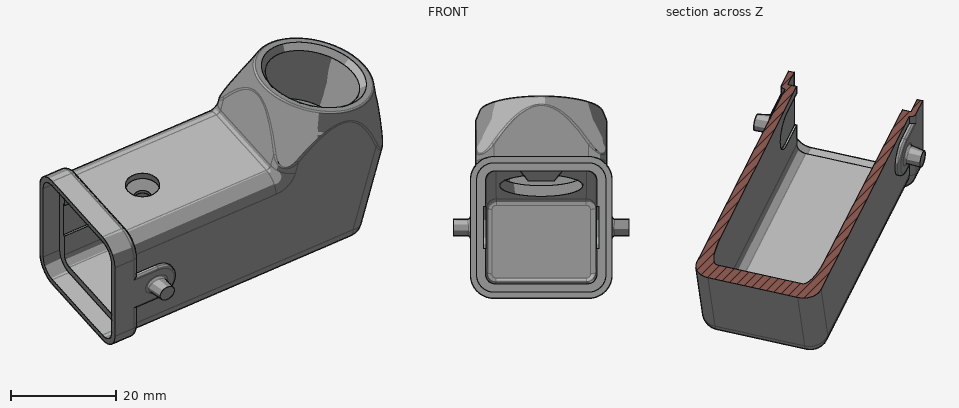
import cadquery as cq
import math


body_width = 25.0
body_half = body_width / 2
body_corner_radius = 3.5
inner_bend_radius = 1.0
tilt_deg = 15.0
neck_blend_radius = 0.8

mouth_y = 53.02
mouth_z = 22.07
mouth_cone_radius = 11.7
mouth_cone_slope = 0.397
mouth_cone_depth = 12.0
mouth_edge_radius = 0.4
trim_outer_radius = 25.0

bore_chamfer_radius = 10.25
bore_top_radius = 9.2
bore_chamfer_depth = 1.2
bore_bottom_radius = 8.95
bore_depth = 12.5
throat_radius = 7.9

collar_width = 27.0
collar_length = 5.25
collar_corner_radius = 4.5
collar_back_radius = 1.0
collar_wall = 1.2
recess_depth = 3.7

cavity_half_height = 10.75
cavity_half_width = 10.6
cavity_rear_half = 10.35
cavity_corner_radius = 1.8
cavity_rear_radius = 1.0

pad_y = 9.75
pad_radius = 4.05
pad_edge_radius = 0.5
pad_sink = 0.5
pin_span = 33.4
pin_radius = 1.6
pin_base_stretch = 0.45
pin_root_radius = 0.5

pocket_radius = 4.0
pocket_half_span = 11.0

screw_y = 14.6
screw_head_radius = 3.25
screw_head_depth = 1.4
screw_hole_radius = 1.65
boss_top_radius = 4.0
boss_bottom_radius = 2.45
boss_bottom_z = 8.8

tilt = math.radians(tilt_deg)
overshoot = 1.0


def neck_point(across, depth):
    """(Y, Z) of a point given across the neck axis (rearward) and down from the mouth plane."""
    y = mouth_y + across * math.cos(tilt) - depth * math.sin(tilt)
    z = mouth_z - across * math.sin(tilt) - depth * math.cos(tilt)
    return y, z


def depth_at_height(across, z):
    """Depth below the mouth plane at which the line at this offset reaches the height z."""
    return (mouth_z - across * math.sin(tilt) - z) / math.cos(tilt)


ceiling_depth = depth_at_height(-cavity_half_height, cavity_half_height)


def nearest(y, z):
    """Selector for the object nearest to a point on the symmetry plane."""
    return cq.selectors.NearestToPointSelector((0, y, z))


def without(edges, excluded):
    """The edges that are not among the excluded ones."""
    return [edge for edge in edges if not any(edge.isSame(other) for other in excluded)]


def neck_revolve(profile):
    """Solid of revolution about the neck axis from (radius, depth) points."""
    plane = cq.Plane(
        origin=(0, mouth_y, mouth_z),
        xDir=(1, 0, 0),
        normal=(0, -math.cos(tilt), math.sin(tilt)),
    )
    points = [(radius, -depth) for radius, depth in profile]
    return cq.Workplane(plane).polyline(points).close().revolve(360, (0, 0), (0, 1))


def screw_revolve(profile):
    """Solid of revolution about the vertical screw axis from (radius, Z) points."""
    plane = cq.Workplane("XZ", origin=(0, screw_y, 0))
    return plane.polyline(profile).close().revolve(360, (0, 0), (0, 1))


def square_bar(width, length, corner_radius):
    """Rounded square bar from the front face back to the given length."""
    bar = cq.Workplane("XZ").rect(width, width).extrude(-length)
    return bar.edges("|Y").fillet(corner_radius)


def round_ended_slab(radius, x_inner, x_outer, y_front):
    """Slab between two X planes: straight from y_front, ending in a half circle about the pin."""
    return (
        cq.Workplane("YZ", origin=(x_inner, 0, 0))
        .moveTo(y_front, -radius)
        .lineTo(pad_y, -radius)
        .threePointArc((pad_y + radius, 0), (pad_y, radius))
        .lineTo(y_front, radius)
        .close()
        .extrude(x_outer - x_inner)
    )


def make_body():
    """Solid tube with its tilted neck, long edges and heel rounded."""
    bend = neck_point(-body_half, depth_at_height(-body_half, body_half))
    heel = neck_point(body_half, depth_at_height(body_half, -body_half))
    outline = [
        (0, -body_half),
        heel,
        neck_point(body_half, 0),
        neck_point(-body_half, 0),
        bend,
        (0, body_half),
    ]
    body = cq.Workplane("YZ").polyline(outline).close().extrude(body_half, both=True)
    body = body.edges(nearest(*bend)).fillet(inner_bend_radius)

    end_edges = body.faces("<Y").edges().vals() + body.faces(nearest(mouth_y, mouth_z)).edges().vals()
    side_edges = body.faces("<X or >X").edges().vals()
    rounded = without(side_edges, end_edges)
    rounded.append(body.edges(nearest(*heel)).val())
    return body.newObject(rounded).fillet(body_corner_radius)


def trim_neck(body):
    """Turn the square end of the neck into a cone that leaves arched flats."""
    cone_end_radius = mouth_cone_radius + mouth_cone_slope * mouth_cone_depth
    trim = neck_revolve([
        (mouth_cone_radius, 0),
        (trim_outer_radius, 0),
        (trim_outer_radius, mouth_cone_depth),
        (cone_end_radius, mouth_cone_depth),
    ])
    body = body.cut(trim)
    cone_edges = body.faces("%CONE").edges("not %LINE").edges("not %CIRCLE")
    body = body.newObject(cone_edges.vals()).fillet(neck_blend_radius)
    return body.faces(nearest(mouth_y, mouth_z)).edges().fillet(mouth_edge_radius)


def make_collar():
    collar = square_bar(collar_width, collar_length, collar_corner_radius)
    return collar.faces(">Y").edges().fillet(collar_back_radius)


def make_pad():
    """Round-ended pad and locking pin on the +X side."""
    pad_face = collar_width / 2
    pad = round_ended_slab(pad_radius, body_half - pad_sink, pad_face, recess_depth)
    pad = pad.faces(">X").edges("not <Y").fillet(pad_edge_radius)
    pin = (
        cq.Workplane("YZ", origin=(pad_face, 0, 0))
        .center(pad_y - pin_base_stretch, 0)
        .ellipse(pin_radius + pin_base_stretch, pin_radius)
        .workplane(offset=pin_span / 2 - pad_face)
        .center(pin_base_stretch, 0)
        .ellipse(pin_radius, pin_radius)
        .loft()
    )
    pad = pad.union(pin)
    root = cq.selectors.NearestToPointSelector((pad_face, pad_y - pin_base_stretch, 0))
    return pad.edges(root).fillet(pin_root_radius)


def make_cavity():
    """Hollow with drafted walls, a tilted rear wall and a tilted ceiling under the neck."""
    heel_y, heel_z = neck_point(cavity_half_height, depth_at_height(cavity_half_height, -cavity_rear_half))
    ceiling_rear_y, ceiling_rear_z = neck_point(cavity_half_height, ceiling_depth)
    side_outline = [
        (0, -cavity_half_height),
        (heel_y, heel_z),
        (ceiling_rear_y, ceiling_rear_z),
        neck_point(-cavity_half_height, ceiling_depth),
        (0, cavity_half_height),
    ]
    top_outline = [
        (-cavity_half_width, 0),
        (cavity_half_width, 0),
        (cavity_rear_half, ceiling_rear_y),
        (-cavity_rear_half, ceiling_rear_y),
    ]
    cavity = cq.Workplane("YZ").polyline(side_outline).close().extrude(cavity_half_width, both=True)
    plan = cq.Workplane("XY").polyline(top_outline).close().extrude(cavity_half_height, both=True)
    cavity = cavity.intersect(plan)

    end_edges = cavity.faces("<Y or >Y").edges().vals()
    side_edges = cavity.faces("<X or >X").edges().vals()
    cavity = cavity.newObject(without(side_edges, end_edges)).fillet(cavity_corner_radius)
    return cavity.faces(">Y").edges().fillet(cavity_rear_radius)


def make_bore():
    """Chamfered, slightly tapered bore ending in a ledge with a smaller throat."""
    return neck_revolve([
        (0, -overshoot),
        (bore_chamfer_radius, -overshoot),
        (bore_chamfer_radius, 0),
        (bore_top_radius, bore_chamfer_depth),
        (bore_bottom_radius, bore_depth),
        (throat_radius, bore_depth),
        (throat_radius, ceiling_depth + overshoot),
        (0, ceiling_depth + overshoot),
    ])


def make_screw_boss():
    return screw_revolve([
        (0, boss_bottom_z),
        (boss_bottom_radius, boss_bottom_z),
        (boss_top_radius, cavity_half_height),
        (boss_top_radius, body_half - screw_head_depth),
        (0, body_half - screw_head_depth),
    ])


def make_screw_hole():
    """Head recess, 90 degree countersink and through hole."""
    seat_z = body_half - screw_head_depth
    neck_z = seat_z - (screw_head_radius - screw_hole_radius)
    return screw_revolve([
        (0, body_half + overshoot),
        (screw_head_radius, body_half + overshoot),
        (screw_head_radius, seat_z),
        (screw_hole_radius, neck_z),
        (screw_hole_radius, boss_bottom_z - overshoot),
        (0, boss_bottom_z - overshoot),
    ])


pad = make_pad()
outside = trim_neck(make_body()).union(make_collar()).union(pad).union(pad.mirror("YZ"))

pocket = round_ended_slab(pocket_radius, 0, pocket_half_span, 0)
recess_width = collar_width - 2 * collar_wall
recess = square_bar(recess_width, recess_depth, collar_corner_radius - collar_wall)
hollow = make_cavity().union(pocket).union(pocket.mirror("YZ")).union(recess)

result = outside.cut(hollow).union(make_screw_boss()).cut(make_screw_hole()).cut(make_bore())